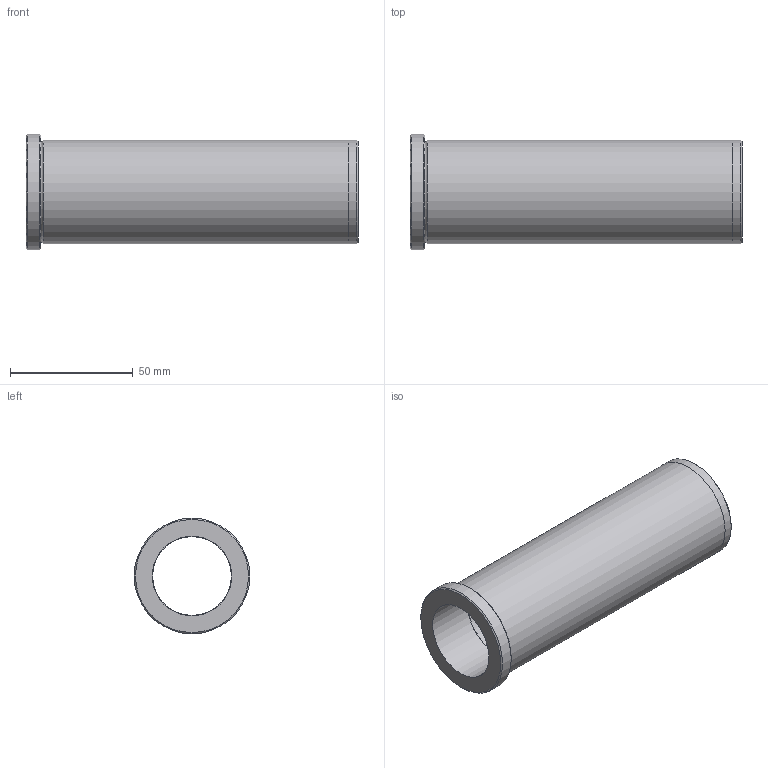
import cadquery as cq
import math

total_length = 135.0
flange_diameter = 47.0
flange_thickness = 6.0
body_diameter = 42.0
edge_chamfer = 0.5
undercut_width = 1.1
undercut_depth = 0.6
lead_in_length = 4.0
guide_bore_diameter = 32.0
relief_bore_diameter = 32.4
relief_bore_depth = 20.0

flange_radius = flange_diameter / 2
body_radius = body_diameter / 2
guide_bore_radius = guide_bore_diameter / 2
relief_bore_radius = relief_bore_diameter / 2
lead_in_start = total_length - lead_in_length

undercut_radius = (undercut_width**2 + undercut_depth**2) / (2 * undercut_depth)
undercut_floor = body_radius - undercut_depth
undercut_end = flange_thickness + undercut_width
undercut_half_angle = math.asin(undercut_width / undercut_radius) / 2
undercut_middle = (
    flange_thickness + undercut_radius * math.sin(undercut_half_angle),
    undercut_floor + undercut_radius * (1 - math.cos(undercut_half_angle)),
)


def add_flange(profile):
    """Flange face, chamfered rim and back face down to the undercut floor."""
    return (
        profile.lineTo(0, flange_radius - edge_chamfer)
        .lineTo(edge_chamfer, flange_radius)
        .lineTo(flange_thickness - edge_chamfer, flange_radius)
        .lineTo(flange_thickness, flange_radius - edge_chamfer)
        .lineTo(flange_thickness, undercut_floor)
    )


def add_body(profile):
    """Rounded undercut, body, lead-in face of the same diameter and chamfered end."""
    return (
        profile.threePointArc(undercut_middle, (undercut_end, body_radius))
        .lineTo(lead_in_start, body_radius)
        .lineTo(total_length - edge_chamfer, body_radius)
        .lineTo(total_length, body_radius - edge_chamfer)
    )


def add_bore(profile):
    """Guide bore from the far end, widening slightly into a relief at the flange."""
    return (
        profile.lineTo(total_length, guide_bore_radius)
        .lineTo(relief_bore_depth, guide_bore_radius)
        .lineTo(relief_bore_depth, relief_bore_radius)
        .close()
    )


half_section = cq.Workplane("XY").moveTo(0, relief_bore_radius)
half_section = add_bore(add_body(add_flange(half_section)))

result = half_section.revolve(360, (0, 0, 0), (1, 0, 0), clean=False)